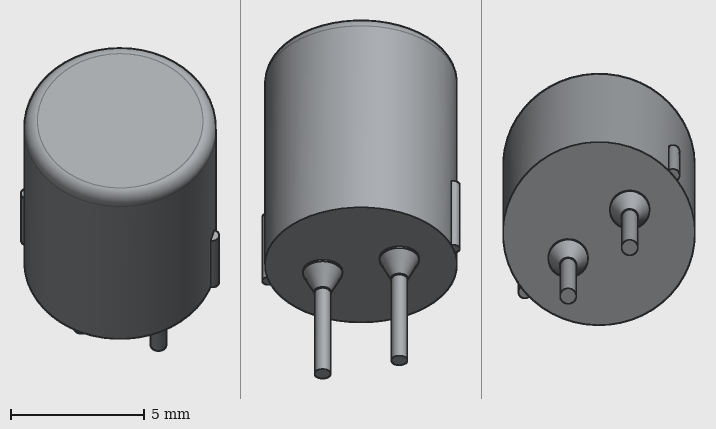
import cadquery as cq

total_height = 13.8
housing_height = 9.01
housing_radius = 3.6
rim_fillet = 0.5

rib_radius = 0.25
rib_height = 3.0

pin_length = total_height - housing_height
pin_radius = 0.3
pin_pitch = 3.0
disc_radius = 0.75
disc_thickness = 0.08
collar_tip_radius = 0.32
collar_bottom_depth = 1.0
collar_lip_height = 0.04

SIDES = (-1, 1)


def make_housing():
    """Cylinder with a rounded top rim."""
    housing = cq.Workplane("XY").circle(housing_radius).extrude(housing_height)
    return housing.faces(">Z").edges().fillet(rim_fillet)


def make_rib(side, housing):
    """Rounded rib centred on the housing wall, trimmed to lie against it."""
    rod = cq.Workplane("XY").center(side * housing_radius, 0).circle(rib_radius).extrude(rib_height)
    return rod.cut(housing)


def make_pin(side):
    """Straight round pin hanging from the underside of the housing."""
    return cq.Workplane("XY").center(side * pin_pitch / 2, 0).circle(pin_radius).extrude(-pin_length)


def make_disc(side, pin):
    """Thin disc against the housing, bored for its pin."""
    disc = cq.Workplane("XY").center(side * pin_pitch / 2, 0).circle(disc_radius).extrude(-disc_thickness)
    return disc.cut(pin)


def make_collar(side, pin):
    """Cone below the disc, ending in a short straight lip around the pin that passes through it."""
    profile = [
        (0, -disc_thickness),
        (disc_radius, -disc_thickness),
        (collar_tip_radius, -collar_bottom_depth + collar_lip_height),
        (collar_tip_radius, -collar_bottom_depth),
        (0, -collar_bottom_depth),
    ]
    collar = cq.Workplane("XZ").polyline(profile).close().revolve(360, (0, 0), (0, 1))
    return collar.translate((side * pin_pitch / 2, 0, 0)).cut(pin)


housing = make_housing()
bodies = [housing]

for side in SIDES:
    rib = make_rib(side, housing)
    pin = make_pin(side)
    disc = make_disc(side, pin)
    collar = make_collar(side, pin)
    bodies += [rib, pin, disc, collar]

result = cq.Compound.makeCompound([body.val() for body in bodies])